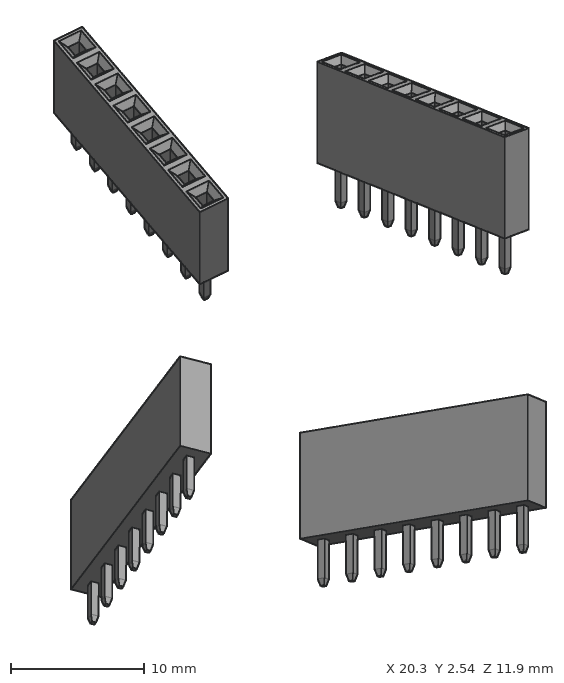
import cadquery as cq

pin_count = 8
housing_length = 20.32
housing_height = 8.27
total_height = 11.85

pitch = housing_length / pin_count
housing_width = pitch

socket_mouth = 2.01
socket_throat = 1.0
funnel_depth = 0.5
throat_depth = 4.06

pin_side = 0.63
pin_length = total_height - housing_height
tip_side = 0.33
tip_length = 0.55
shank_length = pin_length - tip_length

pin_positions = [(i - (pin_count - 1) / 2) * pitch for i in range(pin_count)]


def square_taper(x, z_start, side_start, side_end, length):
    """Square frustum that narrows downward from z_start."""
    return (
        cq.Workplane("XY", origin=(x, 0, z_start))
        .rect(side_start, side_start)
        .workplane(offset=-length)
        .rect(side_end, side_end)
        .loft(ruled=True)
    )


def square_bar(x, z_start, side, length):
    """Square bar that runs downward from z_start."""
    return cq.Workplane("XY", origin=(x, 0, z_start)).rect(side, side).extrude(-length)


def make_socket(x):
    """Volume removed from the top of the housing for one socket."""
    funnel = square_taper(x, housing_height, socket_mouth, socket_throat, funnel_depth)
    throat = square_bar(x, housing_height - funnel_depth, socket_throat, throat_depth)
    return funnel.union(throat)


def make_housing():
    """Rectangular block with a row of sockets in its top face."""
    block = cq.Workplane("XY").box(
        housing_length, housing_width, housing_height, centered=(True, True, False)
    )
    for x in pin_positions:
        block = block.cut(make_socket(x))
    return block


def make_pin(x):
    """Square pin that hangs from the underside of the housing."""
    shank = square_bar(x, 0, pin_side, shank_length)
    tip = square_taper(x, -shank_length, pin_side, tip_side, tip_length)
    return shank.union(tip)


housing = make_housing()
pins = [make_pin(x) for x in pin_positions]

result = cq.Compound.makeCompound([housing.solids().val(), *[pin.solids().val() for pin in pins]])